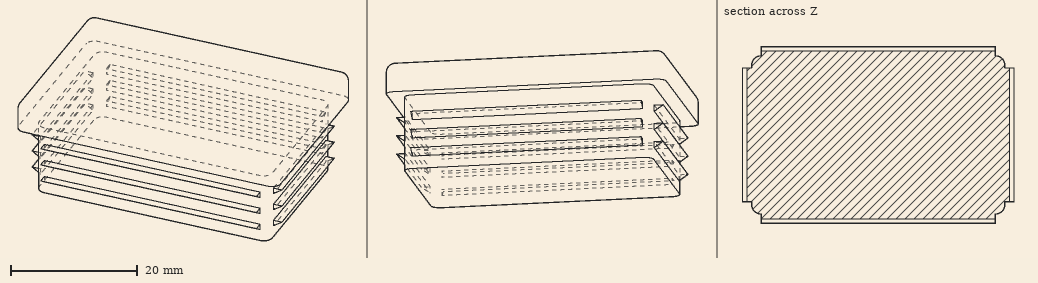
import cadquery as cq

cap_length = 45.0
cap_width = 30.0
cap_height = 5.0
edge_radius = 1.5

plug_length = 40.0
wall_step = (cap_length - plug_length) / 2
plug_width = cap_width - 2 * wall_step
plug_height = 12.0

fin_reach = 1.45
fin_thickness = 1.0
lowest_fin_top = 3.0
fin_pitch = 2.95
fin_count = 3
fin_end_gap = 0.45
fin_root = 0.22
long_fin_length = plug_length - 2 * edge_radius
short_fin_length = plug_width - 2 * (edge_radius + fin_end_gap)


def make_cap():
    """Block with rounded vertical edges and a rounded top rim."""
    cap = cq.Workplane("XY").workplane(offset=plug_height).rect(cap_length, cap_width).extrude(cap_height)
    return cap.edges("|Z or >Z").fillet(edge_radius)


def make_plug():
    """Block with rounded vertical edges, standing on Z = 0."""
    plug = cq.Workplane("XY").rect(plug_length, plug_width).extrude(plug_height)
    return plug.edges("|Z").fillet(edge_radius)


def make_fin(wall, length, top):
    """Triangular fin along Y on the +X side, with its wall at X = wall."""
    outline = [
        (wall - fin_root, top),
        (wall + fin_reach, top),
        (wall, top - fin_thickness),
        (wall - fin_root, top - fin_thickness),
    ]
    return cq.Workplane("XZ").polyline(outline).close().extrude(length / 2, both=True)


result = make_cap().union(make_plug())

for level in range(fin_count):
    fin_top = lowest_fin_top + level * fin_pitch
    short_fin = make_fin(plug_length / 2, short_fin_length, fin_top)
    long_fin = make_fin(plug_width / 2, long_fin_length, fin_top)
    for side_angle in (0, 180):
        result = result.union(short_fin.rotate((0, 0, 0), (0, 0, 1), side_angle))
        result = result.union(long_fin.rotate((0, 0, 0), (0, 0, 1), side_angle + 90))